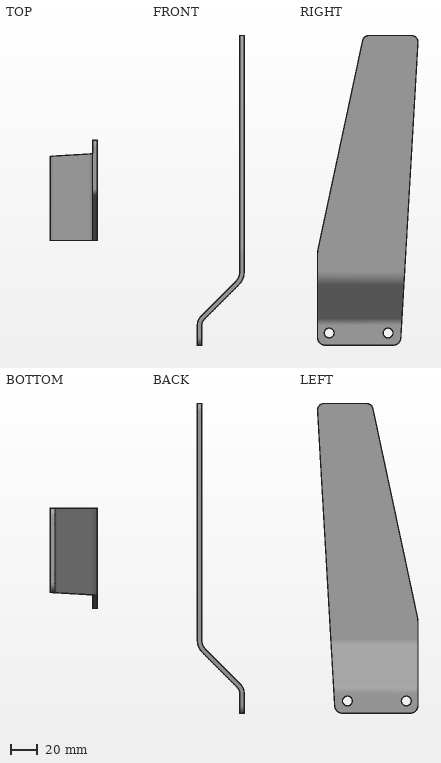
import cadquery as cq
import math

height = 229.8
offset_width = 35.0
sheet = 3.5

bend_angle = math.radians(45)
lower_bend_start = 14.7
lower_outer_radius = 10.0
upper_inner_radius = 9.9

foot_width = 61.5
rear_edge_slope = 0.058
top_front_y = 34.2
taper_start = 69.6
taper_radius = 23.0
top_corner_radius = 5.0
foot_corner_radius = 6.0

hole_diameter = 7.1
hole_height = 9.2
hole_ys = (8.7, 52.5)


def bent_sheet(width):
    """Constant-thickness sheet with two opposite bends, extruded along +Y."""
    sin_bend = math.sin(bend_angle)
    cos_bend = math.cos(bend_angle)
    step = offset_width - sheet
    radii_sum = lower_outer_radius + upper_inner_radius
    web_run = step - radii_sum * (1 - cos_bend)
    web_rise = web_run / math.tan(bend_angle)
    upper_bend_end = lower_bend_start + radii_sum * sin_bend + web_rise

    lower_center = (lower_outer_radius, lower_bend_start)
    upper_center = (step - upper_inner_radius, upper_bend_end)

    def lower_point(radius, angle):
        return (lower_center[0] - radius * math.cos(angle),
                lower_center[1] + radius * math.sin(angle))

    def upper_point(radius, angle):
        return (upper_center[0] + radius * math.cos(angle),
                upper_center[1] - radius * math.sin(angle))

    lower_inner_radius = lower_outer_radius - sheet
    upper_outer_radius = upper_inner_radius + sheet
    half_bend = bend_angle / 2
    return (
        cq.Workplane("XZ")
        .lineTo(*lower_point(lower_outer_radius, 0))
        .threePointArc(lower_point(lower_outer_radius, half_bend),
                       lower_point(lower_outer_radius, bend_angle))
        .lineTo(*upper_point(upper_inner_radius, bend_angle))
        .threePointArc(upper_point(upper_inner_radius, half_bend),
                       upper_point(upper_inner_radius, 0))
        .lineTo(step, height)
        .lineTo(offset_width, height)
        .lineTo(*upper_point(upper_outer_radius, 0))
        .threePointArc(upper_point(upper_outer_radius, half_bend),
                       upper_point(upper_outer_radius, bend_angle))
        .lineTo(*lower_point(lower_inner_radius, bend_angle))
        .threePointArc(lower_point(lower_inner_radius, half_bend),
                       lower_point(lower_inner_radius, 0))
        .lineTo(sheet, 0)
        .close()
        .extrude(-width)
    )


def blade_outline(top_rear_y):
    """Tapered outline with rounded corners, extruded through the full X size."""
    blade = (
        cq.Workplane("YZ")
        .polyline([
            (0, 0),
            (foot_width, 0),
            (top_rear_y, height),
            (top_front_y, height),
            (0, taper_start),
        ])
        .close()
        .extrude(offset_width)
    )
    blade = blade.edges("|X and <Z").fillet(foot_corner_radius)
    blade = blade.edges("|X and >Z").fillet(top_corner_radius)
    taper_edge = cq.selectors.NearestToPointSelector((offset_width / 2, 0, taper_start))
    return blade.edges(taper_edge).fillet(taper_radius)


def mounting_holes():
    """Cylinders along X that pierce the foot."""
    return (
        cq.Workplane("YZ")
        .pushPoints([(y, hole_height) for y in hole_ys])
        .circle(hole_diameter / 2)
        .extrude(sheet)
    )


top_rear_y = foot_width + rear_edge_slope * height
result = bent_sheet(top_rear_y).intersect(blade_outline(top_rear_y)).cut(mounting_holes())